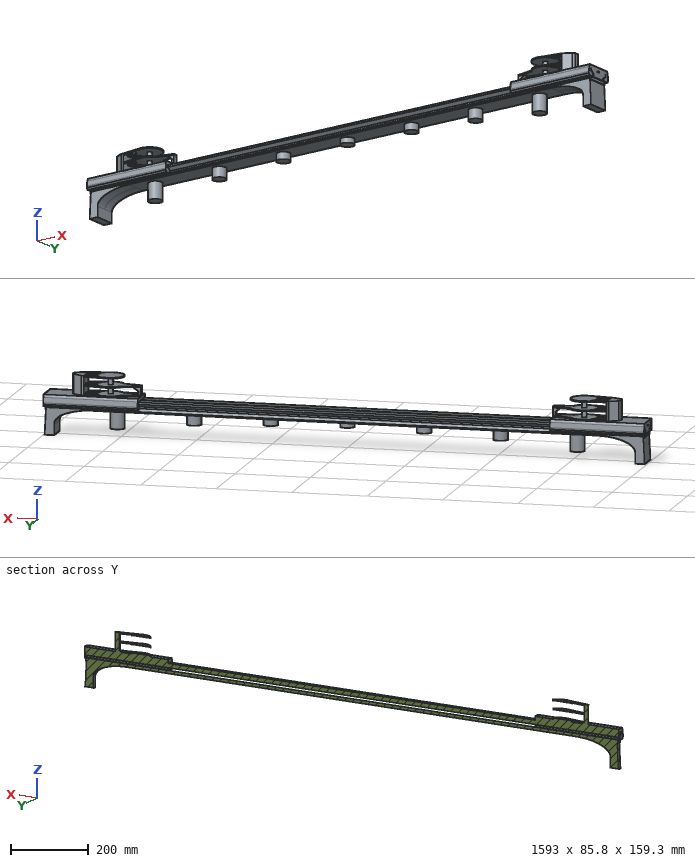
import cadquery as cq

overall_length = 1592.96
cover_width = 85.82
overall_height = 159.28

end_inset = 2.5

beam_width = 63.5
beam_bottom = 69.0
beam_top = 97.5
slot_width = 4.8
slot_depth = 2.5
groove_depth = 10.0
groove_lower_edge = 72.5
groove_floor_bottom = 79.0
groove_floor_top = 84.0
groove_upper_edge = 92.0

cover_length = 250.0
cover_bottom = 77.0
cover_top = 107.5
cover_top_width = 76.0
cover_upper_edge = 101.0
cover_upper_edge_width = 81.5
cover_widest_height = 87.0
cover_lower_edge = 82.0
cover_lower_edge_width = 84.5
cover_bottom_width = 78.0
cover_clearance = 1.0
cover_inner_end = overall_length / 2 - cover_length

leg_width = 63.5
foot_thickness = 25.4
foot_straight_height = 30.0
haunch_length = 100.0
leg_foot_inset = 1.0
leg_top_inset = 4.5
leg_foot_end = overall_length / 2 - leg_foot_inset
leg_top_end = overall_length / 2 - leg_top_inset
leg_inner_face = leg_foot_end - foot_thickness

post_diameter = 38.1
post_spacing = 203.2
post_depths = [15.0, 20.0, 29.0, 48.5]

pin_x = 628.0
pin_diameter = 12.7
plate_diameter = 72.0
plate_thickness = 3.2
base_plate_top = cover_top + plate_thickness
middle_plate_top = 135.0
grip_bar_width = 12.7
grip_outer_end = 727.0
grip_corner = 699.0
grip_inner_face = 692.5
grip_half_width = 26.0
grip_tip_half_width = 7.0
grip_shoulder = 722.0
grip_shoulder_half_width = 13.0
neck_x = 597.0
neck_half_width = 17.0
nose_half_width = 7.0
nose_lip_thickness = 6.35
gusset_length = 14.0
gusset_height = 11.0
rail_width = 5.0


def block(x_low, x_high, width, z_low, z_high):
    """Box between two X and two Z positions, centred on Y."""
    box = cq.Workplane("XY").box(x_high - x_low, width, z_high - z_low, centered=(False, True, False))
    return box.translate((x_low, 0, z_low))


def extrude_mirrored_section(right_side, x_low, x_high):
    """Solid along X whose section is the given right-hand side and its mirror image."""
    left_side = [(-y, z) for y, z in reversed(right_side)]
    section = cq.Workplane("YZ", origin=(x_low, 0, 0)).polyline(right_side + left_side).close()
    return section.extrude(x_high - x_low)


def beam_side(clearance=0.0):
    """Right-hand side of the beam section, pushed outwards by the clearance."""
    half = beam_width / 2 + clearance
    groove_half = half - groove_depth
    return [
        (half, beam_bottom),
        (half, groove_lower_edge),
        (groove_half, groove_floor_bottom),
        (groove_half, groove_floor_top),
        (half, groove_upper_edge),
        (half, beam_top),
    ]


def make_beam():
    half_length = overall_length / 2 - end_inset
    beam = extrude_mirrored_section(beam_side(), -half_length, half_length)
    slot = block(-half_length, half_length, slot_width, beam_top - slot_depth, beam_top)
    return beam.cut(slot)


def make_cover():
    """Bulging cover that sits on the beam, clears its sides and closes its end with a thin plate."""
    side = [
        (cover_bottom_width / 2, cover_bottom),
        (cover_lower_edge_width / 2, cover_lower_edge),
        (cover_width / 2, cover_widest_height),
        (cover_upper_edge_width / 2, cover_upper_edge),
        (cover_top_width / 2, cover_top),
    ]
    cover_outer_end = overall_length / 2
    cover = extrude_mirrored_section(side, cover_inner_end, cover_outer_end)
    beam_end = extrude_mirrored_section(beam_side(), cover_outer_end - end_inset, cover_outer_end)
    slot = block(cover_inner_end, cover_outer_end, slot_width, beam_top - slot_depth, beam_top)
    end_plate = cover.intersect(beam_end).cut(slot)
    clearance = extrude_mirrored_section(beam_side(cover_clearance), cover_inner_end, cover_outer_end)
    return cover.cut(clearance).union(end_plate)


def make_leg():
    haunch_end = leg_inner_face - haunch_length
    haunch_height = beam_bottom - foot_straight_height
    profile = (
        cq.Workplane("XZ")
        .moveTo(leg_foot_end, 0)
        .lineTo(leg_top_end, beam_bottom)
        .lineTo(haunch_end, beam_bottom)
        .ellipseArc(haunch_length, haunch_height, 0, 90, sense=-1, startAtCurrent=True)
        .lineTo(leg_inner_face, 0)
        .close()
    )
    return profile.extrude(leg_width / 2, both=True)


def make_post(x, depth):
    bottom = cq.Workplane("XY", origin=(x, 0, beam_bottom - depth))
    return bottom.circle(post_diameter / 2).extrude(depth)


def make_disc(diameter, z_low, z_high):
    return cq.Workplane("XY", origin=(pin_x, 0, z_low)).circle(diameter / 2).extrude(z_high - z_low)


def make_tail(z_low):
    """Plate from the disc back to the grip, with a window on each side of a middle bar."""
    plate_radius = plate_diameter / 2
    outline = [
        (pin_x, plate_radius),
        (grip_inner_face, grip_half_width),
        (grip_inner_face, -grip_half_width),
        (pin_x, -plate_radius),
    ]
    base = cq.Workplane("XY", origin=(0, 0, z_low))
    tail = base.polyline(outline).close().extrude(plate_thickness)
    for side in (1, -1):
        window = [
            (pin_x, side * grip_bar_width / 2),
            (pin_x, side * (plate_radius - rail_width)),
            (grip_inner_face, side * (grip_half_width - rail_width)),
            (grip_inner_face, side * grip_bar_width / 2),
        ]
        tail = tail.cut(base.polyline(window).close().extrude(plate_thickness))
    return tail.union(make_disc(plate_diameter, z_low, z_low + plate_thickness))


def make_nose(z_low):
    """Plate that narrows from the disc to the nose."""
    plate_radius = plate_diameter / 2
    outline = [
        (pin_x, plate_radius),
        (neck_x, neck_half_width),
        (cover_inner_end, nose_half_width),
        (cover_inner_end, -nose_half_width),
        (neck_x, -neck_half_width),
        (pin_x, -plate_radius),
    ]
    return cq.Workplane("XY", origin=(0, 0, z_low)).polyline(outline).close().extrude(plate_thickness)


def make_nose_lip():
    """Upright joining the noses of two plates, with a sloped gusset under the upper one."""
    lip_end = cover_inner_end + nose_lip_thickness
    profile = [
        (cover_inner_end, cover_top),
        (cover_inner_end, middle_plate_top),
        (lip_end + gusset_length, middle_plate_top),
        (lip_end + gusset_length, middle_plate_top - plate_thickness),
        (lip_end, middle_plate_top - plate_thickness - gusset_height),
        (lip_end, cover_top),
    ]
    return cq.Workplane("XZ").polyline(profile).close().extrude(nose_half_width, both=True)


def make_grip():
    outline = [
        (grip_inner_face, grip_half_width),
        (grip_corner, grip_half_width),
        (grip_shoulder, grip_shoulder_half_width),
        (grip_outer_end, grip_tip_half_width),
        (grip_outer_end, -grip_tip_half_width),
        (grip_shoulder, -grip_shoulder_half_width),
        (grip_corner, -grip_half_width),
        (grip_inner_face, -grip_half_width),
    ]
    base = cq.Workplane("XY", origin=(0, 0, cover_top))
    return base.polyline(outline).close().extrude(overall_height - cover_top)


def make_clamp():
    clamp = make_disc(pin_diameter, cover_top, overall_height)
    for plate_top in (base_plate_top, middle_plate_top, overall_height):
        clamp = clamp.union(make_tail(plate_top - plate_thickness))
    for plate_top in (base_plate_top, middle_plate_top):
        clamp = clamp.union(make_nose(plate_top - plate_thickness))
    return clamp.union(make_nose_lip()).union(make_grip())


result = make_beam()
end_assembly = make_cover().union(make_leg()).union(make_clamp())
for index, depth in enumerate(post_depths):
    for x in {index * post_spacing, -index * post_spacing}:
        result = result.union(make_post(x, depth))
result = result.union(end_assembly).union(end_assembly.mirror("YZ"))